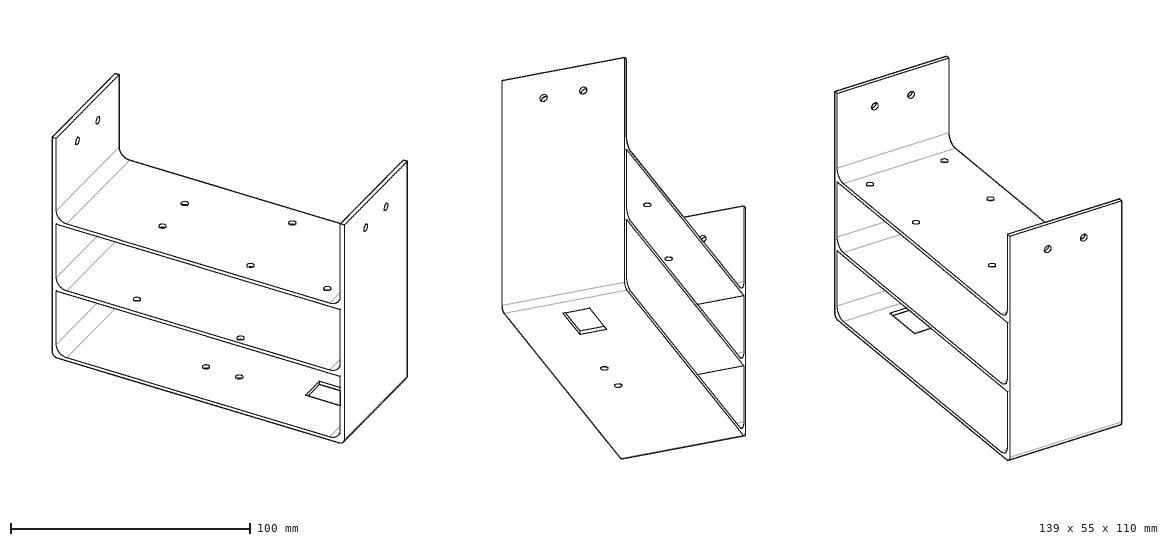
import cadquery as cq

width = 139.0
depth = 55.0
height = 110.0
wall = 2.0
shelf_thickness = 1.7
shelf_pitch = 33.5
inner_radius = 5.0
outer_radius = 2.5

inner_width = width - 2 * wall
floor_bottom, middle_bottom, top_bottom = [level * shelf_pitch for level in range(3)]
bay_height = shelf_pitch - shelf_thickness

hole_diameter = 3.0

square_spacing = 36.5
square_center_x = 38.1
pair_x = -26.7
pair_spacing = 19.5
top_holes = [
    (square_center_x + side_x * square_spacing / 2, side_y * square_spacing / 2)
    for side_x in (-1, 1)
    for side_y in (-1, 1)
]
top_holes += [(pair_x, side_y * pair_spacing / 2) for side_y in (-1, 1)]

middle_holes = [(18.2, -24.0), (-33.8, -19.0)]

floor_holes = [(7.6, -5.7), (-8.2, -5.7)]
window_length = 19.5
window_depth = 12.0
window_front_y = -4.6
window_center_x = 48.4

side_hole_spacing = 17.8
side_hole_drop = 12.1
side_hole_diameter = 3.2


def frame():
    """Outer block with rounded lower edges."""
    block = cq.Workplane("XY").box(width, depth, height, centered=(True, True, False))
    return block.edges("|Y and <Z").fillet(outer_radius)


def bay(bottom, opening_height):
    """Space above a shelf, open front and back, with rounded lower corners."""
    return (
        cq.Workplane("XY", origin=(0, 0, bottom + shelf_thickness))
        .box(inner_width, depth, opening_height, centered=(True, True, False))
        .edges("|Y and <Z")
        .fillet(inner_radius)
    )


def shelf_drill(bottom, centers):
    """Cylinders that pass down through one shelf."""
    return (
        cq.Workplane("XY", origin=(0, 0, bottom))
        .pushPoints(centers)
        .circle(hole_diameter / 2)
        .extrude(shelf_thickness)
    )


def floor_window():
    """Rectangular opening through the floor."""
    return (
        cq.Workplane("XY", origin=(window_center_x, window_front_y, floor_bottom))
        .box(window_length, window_depth, shelf_thickness, centered=(True, False, False))
    )


def side_drill():
    """Cylinders along X that pass through both side walls."""
    return (
        cq.Workplane("YZ", origin=(0, 0, height - side_hole_drop))
        .pushPoints([(-side_hole_spacing / 2, 0), (side_hole_spacing / 2, 0)])
        .circle(side_hole_diameter / 2)
        .extrude(width / 2, both=True)
    )


result = frame()

for shelf_bottom in (floor_bottom, middle_bottom):
    result = result.cut(bay(shelf_bottom, bay_height))
result = result.cut(bay(top_bottom, height - top_bottom - shelf_thickness))

for shelf_bottom, holes in (
    (floor_bottom, floor_holes),
    (middle_bottom, middle_holes),
    (top_bottom, top_holes),
):
    result = result.cut(shelf_drill(shelf_bottom, holes))

result = result.cut(floor_window())
result = result.cut(side_drill())